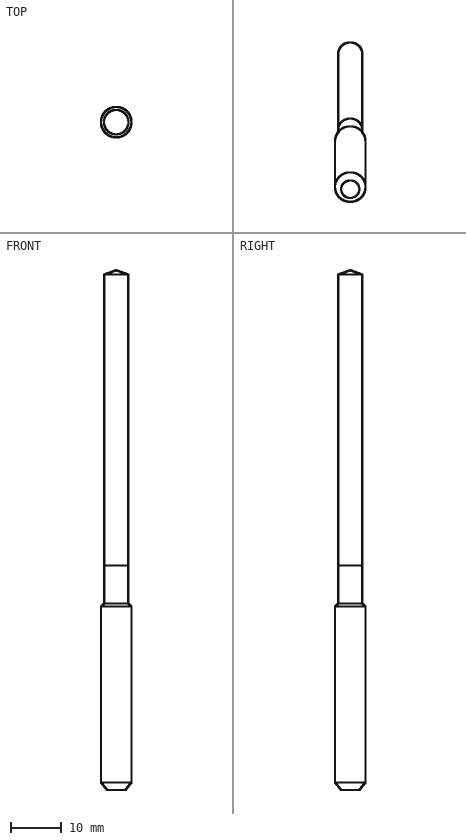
import cadquery as cq
import math

total_length = 102.0

shank_diameter = 6.0
shank_length = 36.0
rear_chamfer_length = 1.5
rear_face_diameter = 3.6
shoulder_angle = 45.0

cutting_diameter = 4.8
cutting_start = 44.1
point_angle = 140.0

shank_radius = shank_diameter / 2
cutting_radius = cutting_diameter / 2
shoulder_length = (shank_radius - cutting_radius) / math.tan(math.radians(shoulder_angle))
neck_start = shank_length + shoulder_length
point_length = cutting_radius / math.tan(math.radians(point_angle / 2))
point_start = total_length - point_length


def turned_body(profile):
    """Revolve a closed (radius, height) profile around the Z axis."""
    return cq.Workplane("XZ").polyline(profile).close().revolve(360, (0, 0), (0, 1))


def make_shank():
    """Chamfered shank with a conical shoulder leading up to the neck."""
    return turned_body([
        (0, 0),
        (rear_face_diameter / 2, 0),
        (shank_radius, rear_chamfer_length),
        (shank_radius, shank_length),
        (cutting_radius, neck_start),
        (cutting_radius, cutting_start),
        (0, cutting_start),
    ])


def make_cutting_section():
    """Plain cylinder ending in a conical point."""
    return turned_body([
        (0, cutting_start),
        (cutting_radius, cutting_start),
        (cutting_radius, point_start),
        (0, total_length),
    ])


shank = make_shank()
cutting_section = make_cutting_section()

result = cq.Compound.makeCompound([shank.val(), cutting_section.val()])